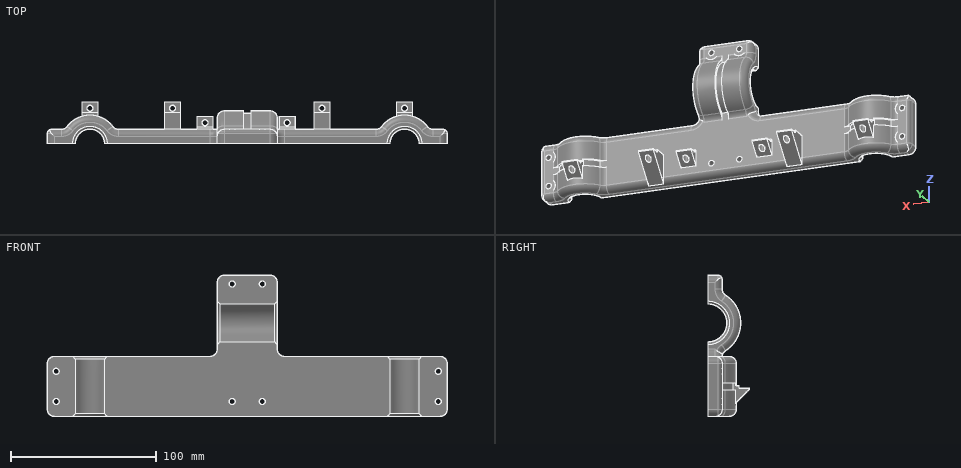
import math

import cadquery as cq

overall_length = 275.84
overall_height = 97.5
strip_width = 41.5
thickness = 10.0
clamp_wall = 9.8
end_clamp_bore = 10.0
arm_clamp_bore = 13.0
end_flange_reach = 19.5
arm_flange_reach = 20.0
blend_radius = 5.0
edge_radius = 5.0
end_edge_radius = 3.0
bore_chamfer = 2.0

hole_diameter = 4.0
hole_end_distance = 6.2
hole_spacing = 20.8
spotface_diameter = 10.0
spotface_height = 2.0

groove_width = 5.0
groove_depth = 1.7

tall_lug_tip = 28.87
short_lug_drop = 10.0
lug_width = 11.2
lug_tip_height = 0.7
lug_hole_diameter = 4.0
lug_hole_inset = 4.4
lug_head_length = 7.3
root_rise = 1.7
tall_lug_x = 51.5
short_lug_left_x = -29.1
short_lug_right_x = 27.5

half_length = overall_length / 2
half_strip = strip_width / 2
end_clamp_x = half_length - end_clamp_bore - end_flange_reach
arm_clamp_z = overall_height - arm_clamp_bore - arm_flange_reach
lug_top = tall_lug_tip - thickness + lug_tip_height


def saddle_outline(bore, tail, free_end):
    """Flat strip from -tail to free_end with a saddle blended on its back, over a bore at the origin."""
    outer = bore + clamp_wall
    blend_height = thickness + blend_radius
    blend_x = math.sqrt((outer + blend_radius) ** 2 - blend_height ** 2)
    angle = math.atan2(blend_height, blend_x)
    tangent = (outer * math.cos(angle), outer * math.sin(angle))
    mid_angle = (angle + math.pi / 2) / 2
    mid = (blend_x - blend_radius * math.cos(mid_angle), blend_height - blend_radius * math.sin(mid_angle))
    return (
        cq.Workplane("XY", origin=(0, 0, -half_strip))
        .moveTo(-tail, 0)
        .lineTo(-tail, thickness)
        .lineTo(-blend_x, thickness)
        .threePointArc((-mid[0], mid[1]), (-tangent[0], tangent[1]))
        .threePointArc((0, outer), tangent)
        .threePointArc(mid, (blend_x, thickness))
        .lineTo(free_end, thickness)
        .lineTo(free_end, 0)
        .close()
    )


def round_long_edges(strip, tail, free_end):
    """Round the two long back edges, which run over the flats and the saddle."""
    near_corner = (-2 * tail, 0.75 * thickness, -strip_width)
    far_corner = (2 * free_end, tall_lug_tip, strip_width)
    behind = cq.selectors.BoxSelector(near_corner, far_corner)
    return strip.faces("|Z").edges(behind).fillet(edge_radius)


def end_cutter(free_end):
    """What the flange end loses to its two rounded corners and the smaller round on its back edge."""
    length = 2 * edge_radius
    plain = cq.Workplane("XY").box(length, thickness, strip_width)
    rounded = plain.faces(">X").edges("|Y").fillet(edge_radius)
    rounded = rounded.faces(">X").edges(">Y").fillet(end_edge_radius)
    return plain.cut(rounded).translate((free_end - length / 2, thickness / 2, 0))


def bore_cutter(bore):
    """Bore along the strip width, chamfered at both ends."""
    wide = bore + bore_chamfer
    return (
        cq.Workplane("XZ")
        .moveTo(0, -half_strip)
        .lineTo(wide, -half_strip)
        .lineTo(bore, bore_chamfer - half_strip)
        .lineTo(bore, half_strip - bore_chamfer)
        .lineTo(wide, half_strip)
        .lineTo(0, half_strip)
        .close()
        .revolve(360, (0, 0, 0), (0, 1, 0))
    )


def groove_cutter(bore):
    """Ring around the saddle, limited to the part that stands behind the plate."""
    outer = bore + clamp_wall
    ring = (
        cq.Workplane("XY", origin=(0, 0, -groove_width / 2))
        .circle(outer + blend_radius)
        .circle(outer - groove_depth)
        .extrude(groove_width)
    )
    reach = 2 * (outer + blend_radius)
    behind = cq.Workplane("XY").box(reach, reach, groove_width).translate((0, thickness + reach / 2, 0))
    return ring.intersect(behind)


def cylinder_along_y(x, z, diameter, start, length):
    plane = cq.Plane((x, start, z), xDir=(1, 0, 0), normal=(0, 1, 0))
    return cq.Workplane(plane).circle(diameter / 2).extrude(length)


def clamp(bore, flange_reach, tail):
    """Half clamp with its bore axis along Z, free flange towards +X and a plain strip towards -X."""
    free_end = bore + flange_reach
    strip = saddle_outline(bore, tail, free_end).extrude(strip_width)
    strip = round_long_edges(strip, tail, free_end).cut(end_cutter(free_end))
    strip = strip.cut(bore_cutter(bore)).cut(groove_cutter(bore))
    for side in (-1, 1):
        hole_x = free_end - hole_end_distance
        hole_z = side * hole_spacing / 2
        strip = strip.cut(cylinder_along_y(hole_x, hole_z, hole_diameter, 0, thickness))
        strip = strip.cut(cylinder_along_y(hole_x, hole_z, spotface_diameter, thickness, spotface_height))
    return strip


def inner_corner(side):
    """Fill the corner between plate and arm with a concave round, its back edge rounded too."""
    size = 2 * edge_radius
    x = side * (half_strip + edge_radius)
    z = strip_width + edge_radius
    block = cq.Workplane("XY").box(size, thickness, size)
    block = block.translate((x - side * size / 2, thickness / 2, z - size / 2))
    bend = edge_radius * math.sqrt(0.5)
    hollow = (
        cq.Workplane("XY", origin=(x, 0, z))
        .lineTo(edge_radius, 0)
        .lineTo(edge_radius, thickness - edge_radius)
        .threePointArc((size - bend, thickness - edge_radius + bend), (size, thickness))
        .lineTo(0, thickness)
        .close()
        .revolve(360, (0, 0, 0), (0, 1, 0))
    )
    return block.cut(hollow)


def lug(x, tip):
    """Lug with a 45 degree underside, its root standing a little higher than its head."""
    underside_z = lug_top - lug_tip_height
    head_start = tip - lug_head_length
    root_top = lug_top + root_rise
    return (
        cq.Workplane("YZ", origin=(x - lug_width / 2, 0, 0))
        .moveTo(thickness, underside_z - (tip - thickness))
        .lineTo(tip, underside_z)
        .lineTo(tip, lug_top)
        .lineTo(head_start, lug_top)
        .lineTo(head_start, root_top)
        .lineTo(thickness, root_top)
        .close()
        .extrude(lug_width)
    )


def groove_bridge(x):
    """Closes the tie groove of an end clamp where its lug stands."""
    groove_floor = end_clamp_bore + clamp_wall - groove_depth
    depth = 2 * groove_depth
    bridge = cq.Workplane("XY").box(lug_width, depth, groove_width)
    saddle = cq.Workplane("XY").circle(end_clamp_bore + clamp_wall).extrude(strip_width)
    return bridge.translate((x, groove_floor, half_strip)).intersect(saddle.translate((x, 0, 0)))


def lug_hole(x, tip):
    hole = cq.Workplane("XY").circle(lug_hole_diameter / 2).extrude(lug_top)
    return hole.translate((x, tip - lug_hole_inset, 0))


end_clamp = clamp(end_clamp_bore, end_flange_reach, end_clamp_x)
right_half = end_clamp.translate((end_clamp_x, 0, half_strip))
left_half = right_half.mirror("YZ")
body = left_half.union(right_half)

arm = clamp(arm_clamp_bore, arm_flange_reach, arm_clamp_z - half_strip)
arm = arm.rotate((0, 0, 0), (0, 1, 0), -90).translate((0, 0, arm_clamp_z))
body = body.union(arm)

for side in (-1, 1):
    body = body.union(inner_corner(side))

short_lug_tip = tall_lug_tip - short_lug_drop
for clamp_x in (-end_clamp_x, end_clamp_x):
    bore_space = bore_cutter(end_clamp_bore).translate((clamp_x, 0, half_strip))
    body = body.union(groove_bridge(clamp_x)).union(lug(clamp_x, tall_lug_tip).cut(bore_space))
    body = body.cut(lug_hole(clamp_x, tall_lug_tip))
for lug_x in (-tall_lug_x, tall_lug_x):
    body = body.union(lug(lug_x, tall_lug_tip)).cut(lug_hole(lug_x, tall_lug_tip))
for lug_x in (short_lug_left_x, short_lug_right_x):
    body = body.union(lug(lug_x, short_lug_tip)).cut(lug_hole(lug_x, short_lug_tip))

for side in (-1, 1):
    plate_hole_z = half_strip - hole_spacing / 2
    body = body.cut(cylinder_along_y(side * hole_spacing / 2, plate_hole_z, hole_diameter, 0, thickness))

result = body.clean()